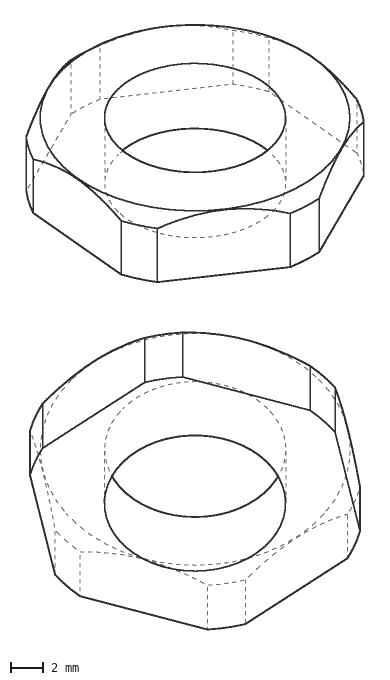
import cadquery as cq
import math

across_flats = 19.0
corner_diameter = 20.73
height = 5.0
bore_diameter = 11.1
top_face_diameter = 18.97

chamfer = (corner_diameter - top_face_diameter) / 2
across_corners = across_flats / math.cos(math.radians(30))

hexagon = cq.Workplane("XY").polygon(6, across_corners).extrude(height)

rounding_disc = (
    cq.Workplane("XY")
    .circle(corner_diameter / 2)
    .extrude(height)
    .faces(">Z")
    .chamfer(chamfer)
)

bore = cq.Workplane("XY").circle(bore_diameter / 2).extrude(height)

result = hexagon.intersect(rounding_disc).cut(bore)